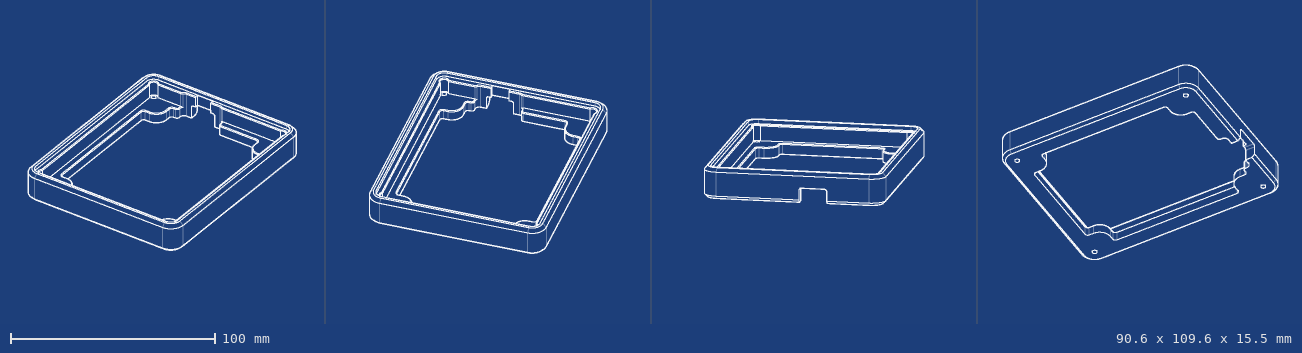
import cadquery as cq

width = 90.6
length = 109.6
height = 15.5
corner_radius = 7.2
top_bevel = 1.9
bottom_bevel = 1.5

floor_top = 5.5
shelf_top = 13.4

lip_thickness = 3.2
wall_thickness = 5.8
thick_end_wall = 6.4
rim_side = 9.3
rim_end = 9.5

pad_reach_x = 19.2
pad_reach_y = 19.5
pad_radius = 6.0
opening_fillet = 1.4
edge_break = 0.4

screw_diameter = 2.4
relief_radius = 2.1

cable_x = -10.1

notch_width = 24.2
notch_wall = 5.1
notch_corner_radius = 2.2
notch_shoulder_radius = 1.3

slot_width = 9.1
slot_wall = 3.4
exit_width = 13.8
exit_height = 7.5
exit_corner_radius = 1.1

notch_left = cable_x - notch_width / 2
notch_right = cable_x + notch_width / 2
half_width = width / 2
half_length = length / 2
opening_half_x = half_width - rim_side
opening_half_y = half_length - rim_end
screw_half_x = half_width - corner_radius
screw_half_y = half_length - corner_radius
screw_points = [(sx * screw_half_x, sy * screw_half_y) for sx in (-1, 1) for sy in (-1, 1)]


def block(x_min, x_max, y_min, y_max, z_min, z_max):
    """Plain block between two opposite corners."""
    size = (x_max - x_min, y_max - y_min, z_max - z_min)
    return cq.Workplane("XY").box(*size, centered=False).translate((x_min, y_min, z_min))


def rounded_block(inset, z_min, z_max):
    """Block that follows the outer outline at a given inset."""
    return (
        cq.Workplane("XY", origin=(0, 0, z_min))
        .rect(width - 2 * inset, length - 2 * inset)
        .extrude(z_max - z_min)
        .edges("|Z")
        .fillet(corner_radius - inset)
    )


def break_top_inner_edges(solid):
    """Bevel the inner edges of the top face."""
    loops = solid.faces(">Z").val().innerWires()
    edges = [edge for loop in loops for edge in loop.Edges()]
    return solid.newObject(edges).chamfer(edge_break)


def make_notch(z_max):
    """Round-cornered notch beside the +Y wall, reaching into the floor opening."""
    notch = block(notch_left, notch_right, 0, half_length - notch_wall, 0, z_max)
    return notch.edges("|Z and >Y").fillet(notch_corner_radius)


def make_opening():
    """Floor opening: a rectangle less four corner pads, joined by the notch."""
    opening = block(-opening_half_x, opening_half_x, -opening_half_y, opening_half_y, 0, floor_top)
    pad = (
        cq.Workplane("XY")
        .rect(2 * pad_reach_x, 2 * pad_reach_y)
        .extrude(floor_top)
        .edges("|Z")
        .fillet(pad_radius)
    )
    inner_corners = [(x, opening_half_y) for x in (notch_left, notch_right)]
    for sx in (-1, 1):
        for sy in (-1, 1):
            opening = opening.cut(pad.translate((sx * half_width, sy * half_length, 0)))
            inner_corners.append((sx * opening_half_x, sy * (half_length - pad_reach_y)))
            inner_corners.append((sx * (half_width - pad_reach_x), sy * opening_half_y))
    opening = opening.union(make_notch(floor_top))
    for x, y in inner_corners:
        corner = cq.NearestToPointSelector((x, y, floor_top / 2))
        opening = opening.edges("|Z").edges(corner).fillet(opening_fillet)
    return opening


def make_floor():
    """Floor plate with its opening and screw holes."""
    plate = rounded_block(lip_thickness, 0, floor_top).cut(make_opening())
    plate = break_top_inner_edges(plate)
    holes = cq.Workplane("XY").pushPoints(screw_points).circle(screw_diameter / 2).extrude(floor_top)
    return plate.cut(holes)


def make_wall():
    """Wall up to the shelf, thicker on the -X side of the notch, relieved round the screws."""
    cavity_half_x = half_width - wall_thickness
    cavity_half_y = half_length - wall_thickness
    cavity = block(-cavity_half_x, cavity_half_x, -cavity_half_y, cavity_half_y, 0, shelf_top)
    thick_part = block(
        -cavity_half_x, cable_x,
        half_length - thick_end_wall, cavity_half_y, 0, shelf_top,
    )
    reliefs = cq.Workplane("XY").pushPoints(screw_points).circle(relief_radius).extrude(shelf_top)
    cavity = cavity.cut(thick_part).union(reliefs).union(make_notch(shelf_top))
    for x, inset in ((notch_left, thick_end_wall), (notch_right, wall_thickness)):
        shoulder = cq.NearestToPointSelector((x, half_length - inset, shelf_top / 2))
        cavity = cavity.edges("|Z").edges(shoulder).fillet(notch_shoulder_radius)
    wall = rounded_block(0, 0, shelf_top).cut(cavity)
    return break_top_inner_edges(wall).cut(make_slot())


def make_slot():
    """Narrow slot down the inside of the +Y wall."""
    return block(
        cable_x - slot_width / 2, cable_x + slot_width / 2,
        0, half_length - slot_wall, 0, shelf_top,
    )


def make_exit():
    """Wider opening under the slot, through the +Y wall and the underside."""
    opening = block(
        cable_x - exit_width / 2, cable_x + exit_width / 2,
        opening_half_y, half_length, 0, exit_height,
    )
    return opening.edges("|Y and >Z").fillet(exit_corner_radius)


def make_lip():
    """Thin lip standing on the shelf, flush with the outer faces."""
    pocket = rounded_block(lip_thickness, shelf_top, height)
    return rounded_block(0, shelf_top, height).cut(pocket)


def make_envelope():
    """Outer shape with bevelled top and bottom edges."""
    envelope = rounded_block(0, 0, height)
    envelope = envelope.faces(">Z").edges().chamfer(top_bevel)
    return envelope.faces("<Z").edges().chamfer(bottom_bevel)


result = (
    make_wall()
    .union(make_floor())
    .union(make_lip())
    .cut(make_exit())
    .intersect(make_envelope())
)